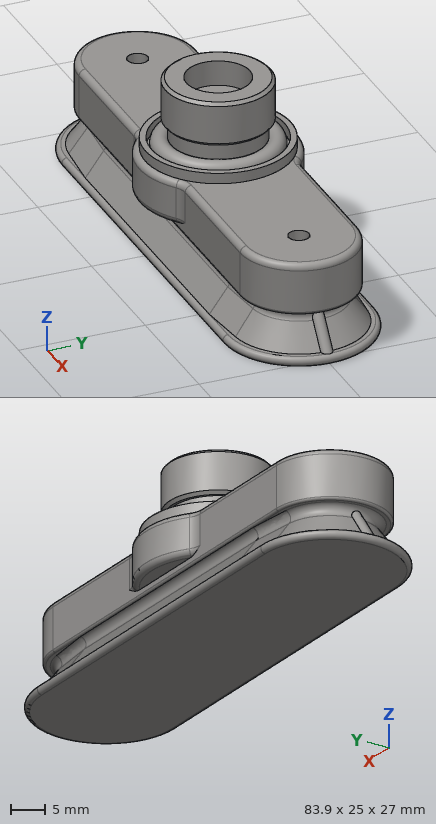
import cadquery as cq
import math

end_center_x = 30.0
total_height = 27.0

lip_radius = 11.95
lip_height = 1.5

flat_half_length = 23.1
end_inset = 0.7
skirt_bottom_width = lip_radius - lip_height / 2
skirt_top_width = 8.3
skirt_top_z = 5.4
neck_width = 8.0
neck_z = 6.15
neck_flare_width = 8.9

rib_radius = 1.0
rib_depth = 0.35
rib_overrun = 1.2

body_bottom_z = 7.3
body_top_z = 15.5
body_radius = 9.25
body_top_round = 1.0
body_bottom_round = 0.4

boss_radius = 12.5
boss_bottom_z = 8.5
boss_round = 1.0
boss_blend_radius = 3.0

collar_radius = 11.5
collar_top_z = 17.2
recess_radius = 10.5
seal_ring_radius = 1.5
seal_center_radius = 8.5
seal_top_z = 17.75
undercut_radius = 7.4
thread_radius = 8.33
thread_bottom_z = 19.9
thread_chamfer = 0.5
bore_diameter = 10.0
bore_depth = 4.0

hole_diameter = 3.2
hole_depth = 5.0


def stadium(radius, bottom_z, top_z):
    """Block with two round ends centred on the end axes."""
    length = 2 * (end_center_x + radius)
    return cq.Workplane("XY", origin=(0, 0, bottom_z)).slot2D(length, 2 * radius).extrude(top_z - bottom_z)


def skirt_section(inset, origin, outward):
    """Half section of skirt and neck in the upright plane through origin along outward."""
    plane = cq.Plane(origin=origin, xDir=outward, normal=(outward[1], -outward[0], 0))
    return (
        cq.Workplane(plane)
        .moveTo(0, lip_height / 2)
        .lineTo(skirt_bottom_width - inset, lip_height / 2)
        .lineTo(skirt_bottom_width - inset, lip_height)
        .lineTo(skirt_top_width - inset, skirt_top_z)
        .threePointArc((neck_width - inset, neck_z), (neck_flare_width - inset, body_bottom_z))
        .lineTo(neck_flare_width - inset, body_bottom_z + body_bottom_round)
        .lineTo(0, body_bottom_z + body_bottom_round)
        .close()
    )


def make_skirt():
    taper_angle = math.atan(end_inset / (end_center_x - flat_half_length))
    tilted = (math.sin(taper_angle), math.cos(taper_angle), 0)
    end_axis = (end_center_x, 0, 0)

    middle = skirt_section(0, (0, 0, 0), (0, 1, 0)).extrude(-flat_half_length)
    taper_start = skirt_section(0, (flat_half_length, 0, 0), (0, 1, 0)).val()
    taper_end = skirt_section(end_inset, end_axis, tilted).val()
    taper = cq.Workplane(cq.Solid.makeLoft([taper_start, taper_end], True))
    sweep_angle = 90 - math.degrees(taper_angle)
    round_end = skirt_section(end_inset, end_axis, (1, 0, 0)).revolve(sweep_angle, (0, 0, 0), (0, 1, 0))
    quarter = middle.union(taper).union(round_end)

    half = quarter.union(quarter.mirror("XZ"))
    return half.union(half.mirror("YZ"))


def make_lip():
    """Flat plate with a fully rounded rim."""
    rim_radius = lip_height / 2
    plate_radius = lip_radius - rim_radius
    rim_path = cq.Workplane("XY", origin=(0, 0, rim_radius)).slot2D(
        2 * (end_center_x + plate_radius), 2 * plate_radius
    )
    rim_start = cq.Plane(origin=(0, plate_radius, rim_radius), xDir=(0, 1, 0), normal=(1, 0, 0))
    rim = cq.Workplane(rim_start).circle(rim_radius).sweep(rim_path)
    return stadium(plate_radius, 0, lip_height).union(rim)


def make_ribs():
    rise = skirt_top_z - lip_height
    run = skirt_bottom_width - skirt_top_width
    slope_length = math.hypot(rise, run)
    along = cq.Vector(-run / slope_length, 0, rise / slope_length)
    inward = cq.Vector(-along.z, 0, along.x)
    skirt_foot = cq.Vector(end_center_x + skirt_bottom_width - end_inset, 0, lip_height)
    start = skirt_foot + inward * rib_depth - along * rib_overrun
    rib = cq.Workplane(cq.Solid.makeCylinder(rib_radius, slope_length + 2 * rib_overrun, start, along))
    lip_middle_z = lip_height / 2
    below_lip = stadium(lip_radius, -lip_height, lip_middle_z)
    rib = rib.cut(below_lip)
    return rib.union(rib.mirror("YZ"))


def make_boss_blend():
    """Concave corner between the boss and the -Y body side at +X, rounded along its lower edge."""
    center_y = body_radius + boss_blend_radius
    center_distance = boss_radius + boss_blend_radius
    center_x = math.sqrt(center_distance**2 - center_y**2)
    on_boss = (
        center_x * boss_radius / center_distance,
        -center_y * boss_radius / center_distance,
    )
    on_body = (center_x, -body_radius)
    filler = (
        cq.Workplane("XY", origin=(0, 0, boss_bottom_z))
        .polyline([(0, 0), on_boss, on_body, (center_x, 0)])
        .close()
        .extrude(body_top_z - boss_bottom_z)
    )

    flare_radius = boss_blend_radius + boss_round
    flare_top_z = boss_bottom_z + boss_round
    arc_offset = boss_round * math.sqrt(0.5)
    cutter = (
        cq.Workplane("XZ", origin=(center_x, -center_y, 0))
        .moveTo(0, boss_bottom_z)
        .lineTo(flare_radius, boss_bottom_z)
        .threePointArc(
            (flare_radius - arc_offset, flare_top_z - arc_offset),
            (boss_blend_radius, flare_top_z),
        )
        .lineTo(boss_blend_radius, body_top_z)
        .lineTo(0, body_top_z)
        .close()
        .revolve(360, (0, 0, 0), (0, 1, 0))
    )
    return filler.cut(cutter)


def make_body():
    body = stadium(body_radius, body_bottom_z, body_top_z)
    body = body.faces("<Z").edges().fillet(body_bottom_round)

    boss = cq.Workplane("XY", origin=(0, 0, boss_bottom_z)).circle(boss_radius)
    boss = boss.extrude(body_top_z - boss_bottom_z).faces("<Z").edges().fillet(boss_round)

    blend = make_boss_blend()
    blend_pair = blend.union(blend.mirror("YZ"))
    body = body.union(boss).union(blend_pair).union(blend_pair.mirror("XZ"))
    return body.faces(">Z").edges().fillet(body_top_round)


def make_fitting():
    collar = (
        cq.Workplane("XY", origin=(0, 0, body_top_z))
        .circle(collar_radius)
        .circle(recess_radius)
        .extrude(collar_top_z - body_top_z)
    )
    undercut = (
        cq.Workplane("XY", origin=(0, 0, boss_bottom_z))
        .circle(undercut_radius)
        .extrude(total_height - boss_bottom_z)
    )
    thread = (
        cq.Workplane("XY", origin=(0, 0, thread_bottom_z))
        .circle(thread_radius)
        .extrude(total_height - thread_bottom_z)
        .edges()
        .chamfer(thread_chamfer)
    )
    seal_center = cq.Vector(0, 0, seal_top_z - seal_ring_radius)
    seal = cq.Workplane(cq.Solid.makeTorus(seal_center_radius, seal_ring_radius, seal_center))
    return collar.union(undercut).union(thread).union(seal)


def cut_holes(part):
    part = part.cut(
        cq.Workplane("XY", origin=(0, 0, total_height)).circle(bore_diameter / 2).extrude(-bore_depth)
    )
    holes = (
        cq.Workplane("XY", origin=(0, 0, body_top_z))
        .pushPoints([(-end_center_x, 0), (end_center_x, 0)])
        .circle(hole_diameter / 2)
        .extrude(-hole_depth)
    )
    return part.cut(holes)


part = make_lip().union(make_skirt()).union(make_ribs()).union(make_body()).union(make_fitting())
result = cut_holes(part)